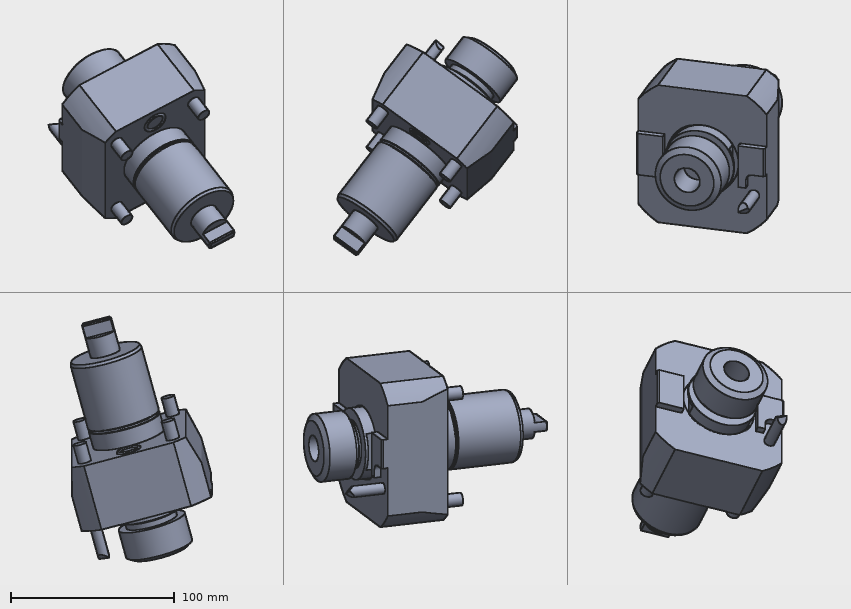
import cadquery as cq
import math

OVERALL_LENGTH = 150.2

NUT_RADIUS = 21.0
NUT_FACE_RADIUS = 17.1
NUT_CHAMFER_LENGTH = 2.4
NUT_END = 20.0
BORE_RADIUS = 8.1
BORE_DEPTH = NUT_END
NECK_RADIUS = 16.0
NECK_END = 23.6
UNDERCUT_RADIUS = 15.2
COLLAR_START = 25.4
COLLAR_RADIUS = 22.0
COLLAR_FLAT_START = 27.2
COLLAR_FLAT_DISTANCE = 18.8

HOUSING_FRONT = 32.6
HOUSING_BACK = 73.9
HOUSING_WIDTH = 82.0
HOUSING_HEIGHT = 92.0
CORNER_RADIUS = 54.0
TAPER_START = 55.3
BACK_WIDTH = 72.4
RECESS_RADIUS = 23.0
RECESS_DEPTH = 1.5

KEY_THICKNESS = 4.0
KEY_INNER_Y = 24.0
KEY_HEIGHT = 27.6
KEY_CHAMFER = 0.9
KEY_NOTCH_Y = -28.8
KEY_NOTCH_TOP = -4.7
KEY_NOTCH_RADIUS = 4.5

PIN_Y = -32.9
PIN_Z = -19.8
PIN_RADIUS = 3.5
PIN_TIP = 9.3
PIN_RIDGE_ANGLE = 30.0
PIN_WEDGE_ANGLE = 90.0

SCREW_Y = 28.0
SCREW_Z = 34.1
SCREW_RADIUS = 4.0
SCREW_END = 85.6
SEAL_RADIUS = 7.7
SEAL_SECTION_RADIUS = 1.0
SEAL_PROTRUSION = 0.9

SHANK_RADIUS = 22.5
SHANK_END = 129.0
SHANK_CHAMFER_LENGTH = 2.0
SHANK_CHAMFER_HEIGHT = 0.9
GROOVE_START = 84.4
GROOVE_END = 86.3
GROOVE_RADIUS = 20.9
RING_CENTRE_X = 85.1
RING_CENTRE_RADIUS = 21.3
RING_SECTION_RADIUS = 0.8

TANG_RADIUS = 9.3
TANG_FLAT_START = 141.8
TANG_THICKNESS = 6.0
TANG_CHAMFER = 0.9


def cylinder(start, end, radius, y=0, z=0):
    """Cylinder parallel to X."""
    return cq.Workplane("YZ", origin=(start, y, z)).circle(radius).extrude(end - start)


def block(x_range, y_range, z_range):
    """Box given by its limits along each axis."""
    low, high = zip(x_range, y_range, z_range)
    size = [b - a for a, b in zip(low, high)]
    return cq.Workplane("XY").box(*size, centered=False).translate(low)


def revolved(points):
    """Solid of revolution about X from an (x, radius) outline."""
    return cq.Workplane("XY").polyline(points).close().revolve(360, (0, 0, 0), (1, 0, 0))


def ring(centre_x, centre_radius, section_radius):
    """Round-section ring about the X axis."""
    section = cq.Workplane("XY").center(centre_x, centre_radius).circle(section_radius)
    return section.revolve(360, (0, -centre_radius, 0), (1, -centre_radius, 0))


def make_housing():
    half_width = HOUSING_WIDTH / 2
    half_back = BACK_WIDTH / 2
    plan = [
        (HOUSING_FRONT, -half_width),
        (TAPER_START, -half_width),
        (HOUSING_BACK, -half_back),
        (HOUSING_BACK, half_back),
        (TAPER_START, half_width),
        (HOUSING_FRONT, half_width),
    ]
    body = cq.Workplane("XY").polyline(plan).close().extrude(HOUSING_HEIGHT / 2, both=True)
    body = body.intersect(cylinder(HOUSING_FRONT, HOUSING_BACK, CORNER_RADIUS))
    return body.cut(cylinder(HOUSING_FRONT, HOUSING_FRONT + RECESS_DEPTH, RECESS_RADIUS))


def make_nut_and_collar():
    recess_floor = HOUSING_FRONT + RECESS_DEPTH
    spindle = revolved([
        (0, 0),
        (0, NUT_FACE_RADIUS),
        (NUT_CHAMFER_LENGTH, NUT_RADIUS),
        (NUT_END, NUT_RADIUS),
        (NUT_END, NECK_RADIUS),
        (NECK_END, NECK_RADIUS),
        (NECK_END, UNDERCUT_RADIUS),
        (COLLAR_START, UNDERCUT_RADIUS),
        (COLLAR_START, COLLAR_RADIUS),
        (recess_floor, COLLAR_RADIUS),
        (recess_floor, 0),
    ])
    flat_x = (COLLAR_FLAT_START, recess_floor)
    z_range = (-COLLAR_RADIUS, COLLAR_RADIUS)
    for y_range in ((COLLAR_FLAT_DISTANCE, COLLAR_RADIUS), (-COLLAR_RADIUS, -COLLAR_FLAT_DISTANCE)):
        spindle = spindle.cut(block(flat_x, y_range, z_range))
    return spindle.cut(cylinder(0, BORE_DEPTH, BORE_RADIUS))


def make_keys():
    x_range = (HOUSING_FRONT - KEY_THICKNESS, HOUSING_FRONT)
    z_range = (-KEY_HEIGHT / 2, KEY_HEIGHT / 2)
    outer_y = HOUSING_WIDTH / 2
    plus_key = block(x_range, (KEY_INNER_Y, outer_y), z_range)
    plus_key = plus_key.edges("<X and >Y").chamfer(KEY_CHAMFER)
    minus_key = plus_key.mirror("XZ")

    notch = block(x_range, (-outer_y, KEY_NOTCH_Y), (-KEY_HEIGHT / 2, KEY_NOTCH_TOP))
    notch = notch.edges(">Y and >Z").fillet(KEY_NOTCH_RADIUS)
    return plus_key.union(minus_key.cut(notch))


def make_locating_pin():
    pin = cylinder(PIN_TIP, HOUSING_FRONT, PIN_RADIUS, PIN_Y, PIN_Z)
    pin_length = HOUSING_FRONT - PIN_TIP
    spread = pin_length * math.tan(math.radians(PIN_WEDGE_ANGLE / 2))
    wedge = (
        cq.Workplane("XZ")
        .polyline([(0, 0), (pin_length, spread), (pin_length, -spread)])
        .close()
        .extrude(PIN_RADIUS, both=True)
        .rotate((0, 0, 0), (1, 0, 0), -PIN_RIDGE_ANGLE)
        .translate((PIN_TIP, PIN_Y, PIN_Z))
    )
    return pin.intersect(wedge)


def make_back_fittings():
    seal_centre_x = HOUSING_BACK + SEAL_PROTRUSION - SEAL_SECTION_RADIUS
    seal = ring(seal_centre_x, SEAL_RADIUS - SEAL_SECTION_RADIUS, SEAL_SECTION_RADIUS)
    fittings = cq.Workplane("XY")
    for z in (-SCREW_Z, SCREW_Z):
        fittings = fittings.add(seal.translate((0, 0, z)))
        for y in (-SCREW_Y, SCREW_Y):
            fittings = fittings.add(cylinder(HOUSING_BACK, SCREW_END, SCREW_RADIUS, y, z))
    return fittings.combine()


def make_shank():
    shank = revolved([
        (HOUSING_BACK, 0),
        (HOUSING_BACK, SHANK_RADIUS),
        (GROOVE_START, SHANK_RADIUS),
        (GROOVE_START, GROOVE_RADIUS),
        (GROOVE_END, GROOVE_RADIUS),
        (GROOVE_END, SHANK_RADIUS),
        (SHANK_END - SHANK_CHAMFER_LENGTH, SHANK_RADIUS),
        (SHANK_END, SHANK_RADIUS - SHANK_CHAMFER_HEIGHT),
        (SHANK_END, 0),
    ])
    return shank.union(ring(RING_CENTRE_X, RING_CENTRE_RADIUS, RING_SECTION_RADIUS))


def make_tang():
    tang = cylinder(SHANK_END, OVERALL_LENGTH, TANG_RADIUS)
    blade_x = (TANG_FLAT_START, OVERALL_LENGTH)
    y_range = (-TANG_RADIUS, TANG_RADIUS)
    for z_range in ((TANG_THICKNESS / 2, TANG_RADIUS), (-TANG_RADIUS, -TANG_THICKNESS / 2)):
        tang = tang.cut(block(blade_x, y_range, z_range))
    return tang.faces(">X").chamfer(TANG_CHAMFER)


result = (
    make_housing()
    .union(make_nut_and_collar())
    .union(make_keys())
    .union(make_locating_pin())
    .union(make_back_fittings())
    .union(make_shank())
    .union(make_tang())
)